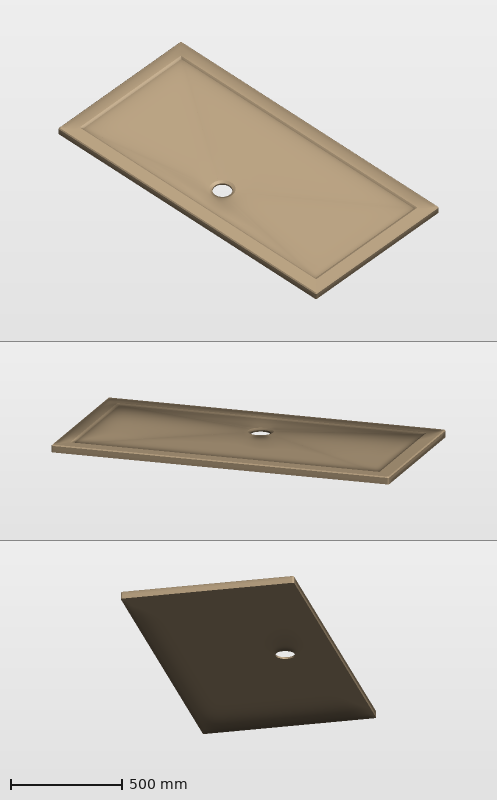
import cadquery as cq
import math

length = 1600.0
width = 800.0
height = 35.0
edge_chamfer = 5.0
corner_radius = 8.0

rim_width_x = 67.0
rim_width_y = 70.0
rim_drop = 2.0
rim_inner_radius = 2.0
wall_run_x = 12.0
wall_run_y = 10.0
wall_drop = 6.0
floor_corner_radius = 3.0

drain_y = -170.0
seat_radius = 60.0
hole_radius = 45.0
floor_drop = 13.0
seat_drop = 6.0
valley_spread = 1.0

rim_outer_length = length - 2 * edge_chamfer
rim_outer_width = width - 2 * edge_chamfer
rim_inner_length = length - 2 * rim_width_x
rim_inner_width = width - 2 * rim_width_y
floor_length = rim_inner_length - 2 * wall_run_x
floor_width = rim_inner_width - 2 * wall_run_y

rim_inner_z = height - rim_drop
floor_z = rim_inner_z - wall_drop
seat_z = floor_z - floor_drop
hole_z = seat_z - seat_drop


def rounded_rectangle(size_x, size_y, radius, z):
    """Closed wire with rounded corners, centred on the Z axis."""
    plate = cq.Workplane("XY", origin=(0, 0, z)).rect(size_x, size_y).extrude(height)
    return plate.edges("|Z").fillet(radius).faces("<Z").wires().val()


def funnel(top_wire, bottom_wire):
    """Solid with straight sloped sides between two outlines."""
    return cq.Workplane(cq.Solid.makeLoft([top_wire, bottom_wire], True))


def seat_point(angle):
    x = seat_radius * math.cos(angle)
    y = drain_y + seat_radius * math.sin(angle)
    return cq.Vector(x, y, seat_z)


def seat_arc(start, end):
    return cq.Edge.makeThreePointArc(seat_point(start), seat_point((start + end) / 2), seat_point(end))


def floor_corner(sign_x, sign_y, start):
    """Rounded floor corner, counterclockwise from the given start angle of its arc."""
    center_x = sign_x * (floor_length / 2 - floor_corner_radius)
    center_y = sign_y * (floor_width / 2 - floor_corner_radius)
    points = []
    for angle in (start, start + math.pi / 4, start + math.pi / 2):
        x = center_x + floor_corner_radius * math.cos(angle)
        y = center_y + floor_corner_radius * math.sin(angle)
        points.append(cq.Vector(x, y, floor_z))
    return points


def floor_hollow():
    """Space above the floor, which runs from a rounded rectangle down to the seat circle."""
    half_turn = math.pi
    valley = math.atan2(width, length)
    spread = math.radians(valley_spread) / 2
    right_middle = cq.Vector(floor_length / 2, 0, floor_z)
    left_middle = cq.Vector(-floor_length / 2, 0, floor_z)
    back_right = floor_corner(1, 1, 0)
    back_left = floor_corner(-1, 1, half_turn / 2)
    front_left = floor_corner(-1, -1, half_turn)
    front_right = floor_corner(1, -1, 1.5 * half_turn)

    line = cq.Edge.makeLine
    arc = cq.Edge.makeThreePointArc
    pieces = [
        (line(right_middle, back_right[0]), valley - spread),
        (arc(*back_right), valley + spread),
        (line(back_right[-1], back_left[0]), half_turn - valley - spread),
        (arc(*back_left), half_turn - valley + spread),
        (line(back_left[-1], left_middle), half_turn),
        (line(left_middle, front_left[0]), half_turn + valley - spread),
        (arc(*front_left), half_turn + valley + spread),
        (line(front_left[-1], front_right[0]), 2 * half_turn - valley - spread),
        (arc(*front_right), 2 * half_turn - valley + spread),
        (line(front_right[-1], right_middle), 2 * half_turn),
    ]

    seat_edges = []
    slopes = []
    start = 0
    for outer, end in pieces:
        seat = seat_arc(start, end)
        seat_edges.append(seat)
        slopes.append(cq.Face.makeRuledSurface(outer, seat))
        start = end

    lid = cq.Face.makeFromWires(cq.Wire.assembleEdges([outer for outer, _ in pieces]))
    base = cq.Face.makeFromWires(cq.Wire.assembleEdges(seat_edges))
    shell = cq.Shell.makeShell([lid, base] + slopes)
    return cq.Workplane(cq.Solid.makeSolid(shell))


def drain_seat():
    """Conical step between the floor and the drain hole."""
    cone = cq.Solid.makeCone(
        hole_radius, seat_radius, seat_drop, pnt=cq.Vector(0, drain_y, hole_z)
    )
    return cq.Workplane(cone)


def drain_hole():
    return cq.Workplane("XY").center(0, drain_y).circle(hole_radius).extrude(height)


tray = cq.Workplane("XY").box(length, width, height, centered=(True, True, False))
tray = tray.edges("|Z").fillet(corner_radius)
tray = tray.faces(">Z").edges().chamfer(edge_chamfer)

rim_outer = rounded_rectangle(
    rim_outer_length, rim_outer_width, corner_radius - edge_chamfer, height
)
rim_inner = rounded_rectangle(rim_inner_length, rim_inner_width, rim_inner_radius, rim_inner_z)
floor_outline = rounded_rectangle(floor_length, floor_width, floor_corner_radius, floor_z)

rim_slope = funnel(rim_outer, rim_inner)
wall_slope = funnel(rim_inner, floor_outline)

result = tray.cut(rim_slope).cut(wall_slope).cut(floor_hollow()).cut(drain_seat()).cut(drain_hole())